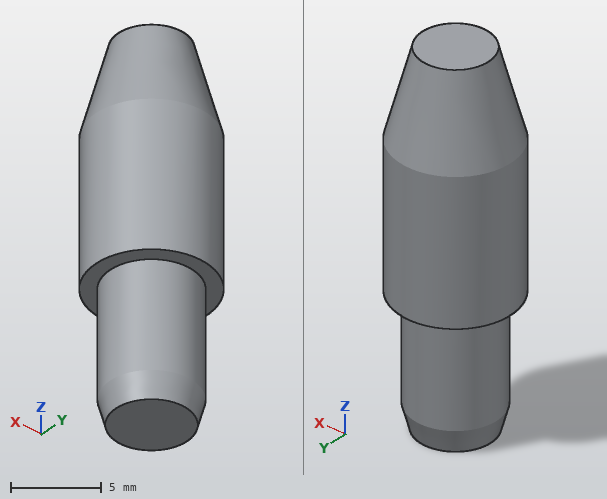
import cadquery as cq
import math

head_diameter = 8.0
head_straight_length = 10.0
nose_length = 6.0
shank_diameter = 6.0
shank_length = 9.0
tip_length = 1.65
taper_angle = math.radians(15.0)

head_radius = head_diameter / 2
shank_radius = shank_diameter / 2
nose_radius = head_radius - nose_length * math.tan(taper_angle)
tip_radius = shank_radius - tip_length * math.tan(taper_angle)
nose_top = head_straight_length + nose_length


def make_pin():
    """Revolve the half profile about Z; it lies in the XZ plane on the +X side of the axis."""
    half_profile = (
        cq.Workplane("XZ")
        .moveTo(0, -shank_length)
        .lineTo(tip_radius, -shank_length)
        .lineTo(shank_radius, tip_length - shank_length)
        .lineTo(shank_radius, 0)
        .lineTo(head_radius, 0)
        .lineTo(head_radius, head_straight_length)
        .lineTo(nose_radius, nose_top)
        .lineTo(0, nose_top)
        .close()
    )
    return half_profile.revolve(360, (0, 0), (0, 1))


result = make_pin()